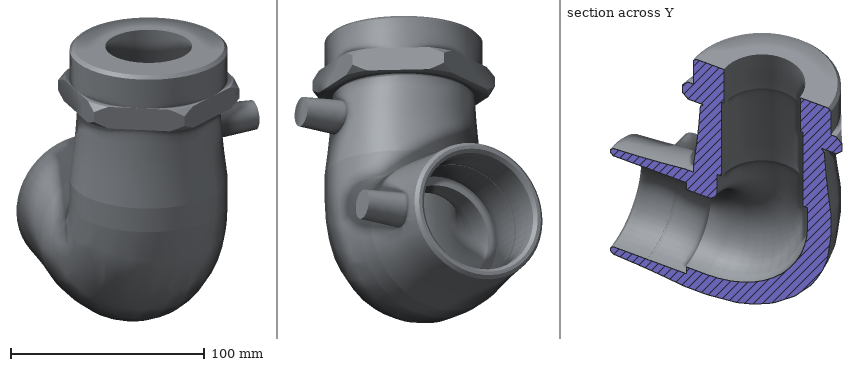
import cadquery as cq
import math

overall_height = 161
body_diameter = 82.0
bend_radius = 32.8
bore_diameter = 53.5
straight_end = 46.0
spigot_end = 90.0
spigot_end_radius = 36.9
spigot_waist_radius = 38.5
spigot_chamfer = 1.8

socket_diameter = 63.0
socket_depth = 44.9
socket_chamfer = 1.8
groove_start = 21.9
groove_width = 1.6
groove_depth = 0.2

nut_height = 12.0
nut_face_radius = 44.0
collar_chamfer = 1.8
insert_bore = 44.9
insert_bore_depth = 23.7
tail_bore = 48.0

terminal_position = 72.1
terminal_tip_y = 59.1
terminal_root_y = 34.6
terminal_tip_radius = 7.7
terminal_slope = 0.065

body_radius = body_diameter / 2
socket_radius = socket_diameter / 2
nut_top = spigot_end + nut_height
collar_top = overall_height - body_radius


def to_horizontal(shape):
    """Swing a shape from the +Z axis to the -X axis."""
    return shape.rotate((0, 0, 0), (0, 1, 0), -90)


def cylinder(diameter, start, end):
    """Cylinder on the Z axis between two heights."""
    return cq.Workplane("XY").workplane(offset=start).circle(diameter / 2).extrude(end - start)


def swing(section):
    """Turn a section at the top of the bend a quarter turn about the bend centre."""
    return section.revolve(90, (-bend_radius, 0, 0), (-bend_radius, 1, 0))


def bend_plane():
    """Horizontal plane at the upper end of the bend."""
    return cq.Workplane("XY").workplane(offset=bend_radius)


def make_outer_bend():
    """Outside of the bend; the circle is cut off at the bend centre, which lies inside it."""
    half_chord = math.sqrt(body_radius**2 - bend_radius**2)
    section = (
        bend_plane()
        .moveTo(-bend_radius, -half_chord)
        .threePointArc((body_radius, 0), (-bend_radius, half_chord))
        .close()
    )
    return cq.Workplane(swing(section).val().toNURBS())


def make_bore_bend():
    """Round flow path through the bend."""
    return swing(bend_plane().circle(bore_diameter / 2))


def make_spigot():
    """Straight stretch, curved taper and chamfered end on the Z axis."""
    taper_end = spigot_end - spigot_chamfer
    return (
        cq.Workplane("XZ")
        .moveTo(0, bend_radius)
        .lineTo(body_radius, bend_radius)
        .lineTo(body_radius, straight_end)
        .threePointArc(
            (spigot_waist_radius, (straight_end + taper_end) / 2),
            (spigot_end_radius, taper_end),
        )
        .lineTo(spigot_end_radius - spigot_chamfer, spigot_end)
        .lineTo(0, spigot_end)
        .close()
        .revolve(360, (0, 0, 0), (0, 1, 0))
    )


def make_socket():
    """Space inside an open spigot: socket, entry chamfer and shallow groove."""
    socket = cylinder(socket_diameter, spigot_end - socket_depth, spigot_end)
    entry = cq.Workplane(
        cq.Solid.makeCone(
            socket_radius,
            socket_radius + socket_chamfer,
            socket_chamfer,
            pnt=cq.Vector(0, 0, spigot_end - socket_chamfer),
        )
    )
    groove_top = spigot_end - groove_start
    groove = cylinder(socket_diameter + 2 * groove_depth, groove_top - groove_width, groove_top)
    return socket.union(entry).union(groove)


def make_insert_head():
    """Hexagon nut with bevelled corners and a round collar above it."""
    corner_radius = body_radius / math.cos(math.pi / 6)
    nut = (
        cq.Workplane("XY").workplane(offset=spigot_end)
        .polygon(6, 2 * corner_radius)
        .extrude(nut_height)
    )
    bevel = corner_radius - nut_face_radius
    bevel_limit = cylinder(2 * corner_radius, spigot_end, nut_top).edges().chamfer(bevel)
    collar = (
        cylinder(body_diameter, nut_top, collar_top)
        .faces(">Z").edges().chamfer(collar_chamfer)
    )
    return nut.intersect(bevel_limit).union(collar)


def make_terminal(x, z):
    """Tapered round terminal pointing to +Y."""
    length = terminal_tip_y - terminal_root_y
    root_radius = terminal_tip_radius + terminal_slope * length
    return cq.Workplane(
        cq.Solid.makeCone(
            root_radius,
            terminal_tip_radius,
            length,
            pnt=cq.Vector(x, terminal_root_y, z),
            dir=cq.Vector(0, 1, 0),
        )
    )


spigot = make_spigot()
outside = make_outer_bend().union(spigot).union(to_horizontal(spigot))
outside = outside.union(make_insert_head())
for x, z in [(-terminal_position, 0), (0, terminal_position)]:
    outside = outside.union(make_terminal(x, z))

socket_floor = spigot_end - socket_depth
insert_step = collar_top - insert_bore_depth
straight_bore = cylinder(bore_diameter, bend_radius, socket_floor)
cavities = [
    make_bore_bend(),
    straight_bore,
    to_horizontal(straight_bore),
    to_horizontal(make_socket()),
    cylinder(tail_bore, socket_floor, insert_step),
    cylinder(insert_bore, insert_step, collar_top),
]

result = outside
for cavity in cavities:
    result = result.cut(cavity)